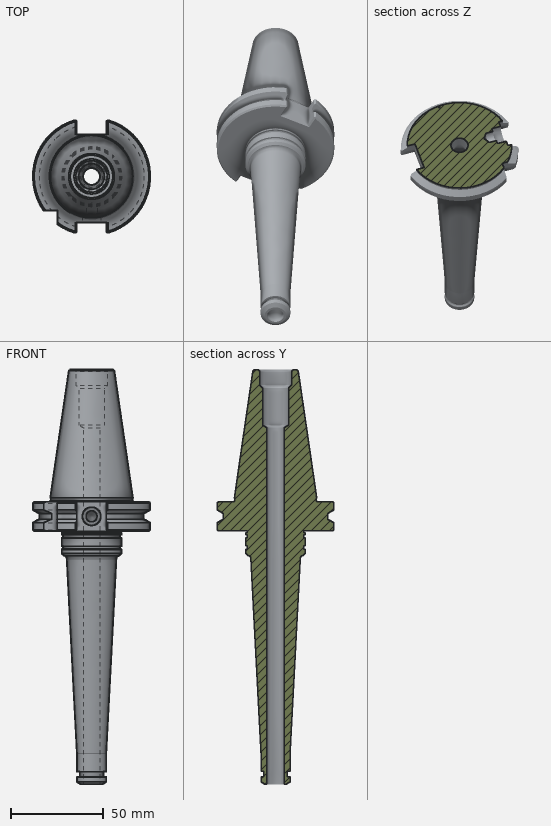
import cadquery as cq
import math


TAPER_RATIO = 7 / 24
GAUGE_DIAMETER = 44.45
TAPER_LENGTH = 68.25
TAPER_OVERRUN = 1.2
TOP_CHAMFER = 0.8
RELIEF_DIAMETER = 44.4
RELIEF_FILLET = 0.6

FLANGE_DIAMETER = 63.55
FLANGE_TOP = -3.2
FLANGE_BOTTOM = -19.1
FLANGE_CHAMFER = 0.8
V_GROOVE_CENTER = -11.1
V_GROOVE_ROOT_DIAMETER = 56.75
V_GROOVE_ROOT_WIDTH = 3.0
V_GROOVE_HALF_ANGLE = math.radians(30)

SLOT_WIDTH = 16.0
SLOT_CHAMFER = 0.9
FRONT_SLOT_FLOOR = 25.0
BACK_SLOT_FLOOR = 22.8
NOTCH_OFFSET = 18.5
CHIP_BORE_DIAMETER = 10.0
CHIP_BORE_DEPTH = 5.0
CHIP_HOLE_DIAMETER = 6.0
CHIP_HOLE_DEPTH = 4.0
DRILL_HALF_ANGLE = math.radians(59)

COLLAR_DIAMETER = 32.5
COLLAR_UNDERCUT_DIAMETER = 31.0
COLLAR_TOP = -19.9
COLLAR_BOTTOM = -32.4
COLLAR_CHAMFER = 1.3
RING_GROOVE_DIAMETER = 31.0
RING_GROOVE_WIDTH = 1.5
RING_CHAMFER = 0.4
RING_GROOVE_TOPS = (-21.1, -27.2)

NECK_TOP_DIAMETER = 27.0
NECK_FILLET = 1.5
NECK_BOTTOM = -139.0
NOSE_DIAMETER = 16.0
NOSE_GROOVE_DIAMETER = 13.0
NOSE_GROOVE_TOP = -149.1
NOSE_GROOVE_BOTTOM = -151.8
NOSE_BOTTOM = -156.0
NOSE_CHAMFER_WIDTH = 2.2
NOSE_CHAMFER_HEIGHT = 1.4
NOSE_RIM_CHAMFER = 0.3

PILOT_DIAMETER = 17.0
PILOT_DEPTH = 8.5
PILOT_CHAMFER = 1.0
THREAD_CORE_DIAMETER = 13.84
THREAD_DEPTH = 30.0
COOLANT_DIAMETER = 9.0


def cone_height(radius_change, half_angle):
    return radius_change / math.tan(half_angle)


def revolve_profile(outline):
    """Revolve an outline drawn as (radius, height) about the Z axis."""
    return outline.close().revolve(360, (0, 0, 0), (0, 1, 0))


def taper_shank():
    taper_bottom_radius = (GAUGE_DIAMETER + TAPER_OVERRUN * TAPER_RATIO) / 2
    top_radius = (GAUGE_DIAMETER - TAPER_LENGTH * TAPER_RATIO) / 2
    chamfer_radius = top_radius + TOP_CHAMFER * TAPER_RATIO / 2
    relief_radius = RELIEF_DIAMETER / 2
    outline = (
        cq.Workplane("XZ")
        .moveTo(0, TAPER_LENGTH)
        .lineTo(top_radius - TOP_CHAMFER, TAPER_LENGTH)
        .lineTo(chamfer_radius, TAPER_LENGTH - TOP_CHAMFER)
        .lineTo(taper_bottom_radius, -TAPER_OVERRUN)
        .lineTo(relief_radius, -TAPER_OVERRUN)
        .lineTo(relief_radius, FLANGE_TOP + RELIEF_FILLET)
        .radiusArc((relief_radius + RELIEF_FILLET, FLANGE_TOP), -RELIEF_FILLET)
        .lineTo(0, FLANGE_TOP)
    )
    return revolve_profile(outline)


def flange_ring():
    radius = FLANGE_DIAMETER / 2
    root_radius = V_GROOVE_ROOT_DIAMETER / 2
    half_root = V_GROOVE_ROOT_WIDTH / 2
    half_mouth = half_root + (radius - root_radius) * math.tan(V_GROOVE_HALF_ANGLE)
    outline = (
        cq.Workplane("XZ")
        .moveTo(0, FLANGE_TOP)
        .lineTo(radius - FLANGE_CHAMFER, FLANGE_TOP)
        .lineTo(radius, FLANGE_TOP - FLANGE_CHAMFER)
        .lineTo(radius, V_GROOVE_CENTER + half_mouth)
        .lineTo(root_radius, V_GROOVE_CENTER + half_root)
        .lineTo(root_radius, V_GROOVE_CENTER - half_root)
        .lineTo(radius, V_GROOVE_CENTER - half_mouth)
        .lineTo(radius, FLANGE_BOTTOM + FLANGE_CHAMFER)
        .lineTo(radius - FLANGE_CHAMFER, FLANGE_BOTTOM)
        .lineTo(0, FLANGE_BOTTOM)
    )
    return revolve_profile(outline)


def slot_edges(disk, floor, direction):
    """Edges of both slot walls, apart from the ones on the slot floor."""
    x_reach = SLOT_WIDTH / 2 + SLOT_CHAMFER
    y_inner = direction * (floor + SLOT_CHAMFER)
    y_outer = direction * FLANGE_DIAMETER / 2
    lower = (-x_reach, min(y_inner, y_outer), FLANGE_BOTTOM - SLOT_CHAMFER)
    upper = (x_reach, max(y_inner, y_outer), FLANGE_TOP + SLOT_CHAMFER)
    return disk.edges(cq.selectors.BoxSelector(lower, upper))


def slotted_disk():
    """Plain disk with the two chamfered drive slots and the orientation notch."""
    radius = FLANGE_DIAMETER / 2
    height = FLANGE_TOP - FLANGE_BOTTOM
    base = cq.Workplane("XY").workplane(offset=FLANGE_BOTTOM)
    disk = base.circle(radius).extrude(height)
    for floor, direction in ((FRONT_SLOT_FLOOR, -1), (BACK_SLOT_FLOOR, 1)):
        center_y = direction * (floor + radius / 2)
        disk = disk.cut(base.center(0, center_y).rect(SLOT_WIDTH, radius).extrude(height))
        disk = slot_edges(disk, floor, direction).chamfer(SLOT_CHAMFER)
    notch_center = -(NOTCH_OFFSET + radius / 2)
    notch = base.center(notch_center, notch_center).rect(radius, radius).extrude(height)
    return disk.cut(notch)


def collar():
    radius = COLLAR_DIAMETER / 2
    groove_radius = RING_GROOVE_DIAMETER / 2
    outline = (
        cq.Workplane("XZ")
        .moveTo(0, FLANGE_BOTTOM)
        .lineTo(COLLAR_UNDERCUT_DIAMETER / 2, FLANGE_BOTTOM)
        .lineTo(COLLAR_UNDERCUT_DIAMETER / 2, COLLAR_TOP)
        .lineTo(radius - RING_CHAMFER, COLLAR_TOP)
        .lineTo(radius, COLLAR_TOP - RING_CHAMFER)
    )
    for groove_top in RING_GROOVE_TOPS:
        groove_bottom = groove_top - RING_GROOVE_WIDTH
        outline = (
            outline.lineTo(radius, groove_top)
            .lineTo(groove_radius, groove_top)
            .lineTo(groove_radius, groove_bottom)
            .lineTo(radius - RING_CHAMFER, groove_bottom)
            .lineTo(radius, groove_bottom - RING_CHAMFER)
        )
    outline = (
        outline.lineTo(radius, COLLAR_BOTTOM + COLLAR_CHAMFER)
        .lineTo(radius - COLLAR_CHAMFER, COLLAR_BOTTOM)
        .lineTo(0, COLLAR_BOTTOM)
    )
    return revolve_profile(outline)


def neck_and_nose():
    neck_radius = NECK_TOP_DIAMETER / 2
    nose_radius = NOSE_DIAMETER / 2
    groove_radius = NOSE_GROOVE_DIAMETER / 2
    outline = (
        cq.Workplane("XZ")
        .moveTo(0, COLLAR_BOTTOM)
        .lineTo(neck_radius + NECK_FILLET, COLLAR_BOTTOM)
        .radiusArc((neck_radius, COLLAR_BOTTOM - NECK_FILLET), -NECK_FILLET)
        .lineTo(nose_radius, NECK_BOTTOM)
        .lineTo(nose_radius, NOSE_GROOVE_TOP)
        .lineTo(groove_radius, NOSE_GROOVE_TOP)
        .lineTo(groove_radius, NOSE_GROOVE_BOTTOM)
        .lineTo(nose_radius - NOSE_RIM_CHAMFER, NOSE_GROOVE_BOTTOM)
        .lineTo(nose_radius, NOSE_GROOVE_BOTTOM - NOSE_RIM_CHAMFER)
        .lineTo(nose_radius, NOSE_BOTTOM + NOSE_CHAMFER_HEIGHT)
        .lineTo(nose_radius - NOSE_CHAMFER_WIDTH, NOSE_BOTTOM)
        .lineTo(0, NOSE_BOTTOM)
    )
    return revolve_profile(outline)


def axial_bore():
    """Pilot bore, thread core with a conical end, and the coolant passage right through."""
    pilot_radius = PILOT_DIAMETER / 2
    core_radius = THREAD_CORE_DIAMETER / 2
    coolant_radius = COOLANT_DIAMETER / 2
    pilot_floor = TAPER_LENGTH - PILOT_DEPTH
    core_floor = TAPER_LENGTH - THREAD_DEPTH
    outline = (
        cq.Workplane("XZ")
        .moveTo(0, TAPER_LENGTH)
        .lineTo(pilot_radius + PILOT_CHAMFER, TAPER_LENGTH)
        .lineTo(pilot_radius, TAPER_LENGTH - PILOT_CHAMFER)
        .lineTo(pilot_radius, pilot_floor)
        .lineTo(core_radius, pilot_floor - (pilot_radius - core_radius))
        .lineTo(core_radius, core_floor)
        .lineTo(coolant_radius, core_floor - cone_height(core_radius - coolant_radius, DRILL_HALF_ANGLE))
        .lineTo(coolant_radius, NOSE_BOTTOM)
        .lineTo(0, NOSE_BOTTOM)
    )
    return revolve_profile(outline)


def chip_hole():
    """Stepped blind hole with a drill point, running along +Y from the -Y slot floor."""
    bore_radius = CHIP_BORE_DIAMETER / 2
    hole_radius = CHIP_HOLE_DIAMETER / 2
    bore_floor = CHIP_BORE_DEPTH - FRONT_SLOT_FLOOR
    hole_floor = bore_floor + CHIP_HOLE_DEPTH
    return (
        cq.Workplane("XY")
        .moveTo(0, -FRONT_SLOT_FLOOR)
        .lineTo(bore_radius, -FRONT_SLOT_FLOOR)
        .lineTo(bore_radius, bore_floor)
        .lineTo(hole_radius, bore_floor)
        .lineTo(hole_radius, hole_floor)
        .lineTo(0, hole_floor + cone_height(hole_radius, DRILL_HALF_ANGLE))
        .close()
        .revolve(360, (0, 0, 0), (0, 1, 0))
        .translate((0, 0, V_GROOVE_CENTER))
    )


flange = flange_ring().intersect(slotted_disk())
body = taper_shank().union(flange).union(collar()).union(neck_and_nose())
result = body.cut(axial_bore()).cut(chip_hole())